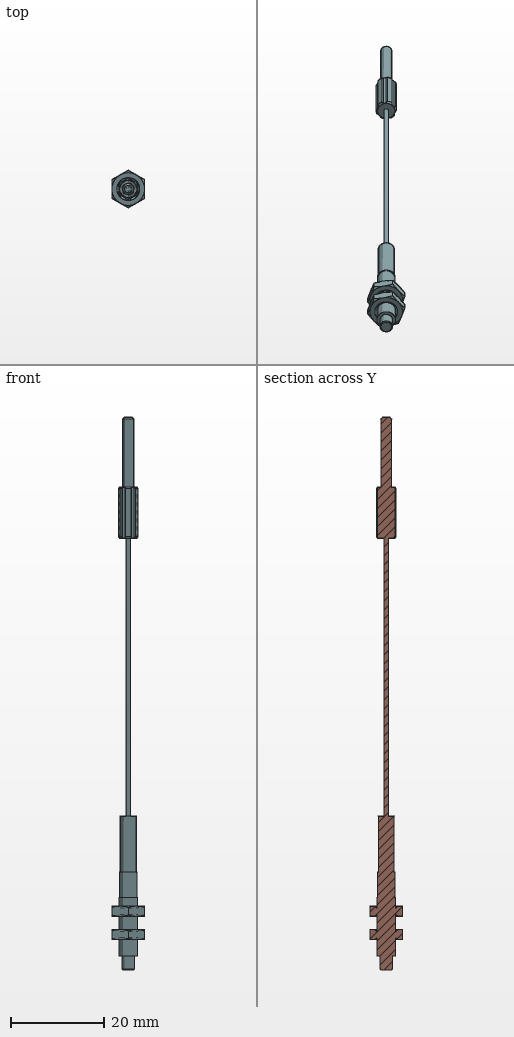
import cadquery as cq
import math

total_length = 118.5
tip_length = 3.0
thread_end = 15.5
head_end = 21.0
tube_end = 33.0
cable_end = 92.5
sleeve_length = 11.0
sleeve_end = cable_end + sleeve_length

tip_diameter = 2.7
thread_diameter = 4.0
neck_diameter = 3.85
tube_diameter = 3.5
cable_diameter = 1.0
pin_diameter = 2.4

tip_chamfer = 0.2
pin_chamfer = 0.4

sleeve_diameter = 4.4
sleeve_chamfer = 0.35
groove_count = 6
groove_mouth_width = 1.4
groove_floor_width = 0.6
groove_depth = 0.3

nut_sides = 6
nut_across_flats = 7.0
nut_thickness = 2.2
nut_chamfer_angle = 30.0
nut_countersink_diameter = 4.9
nut_bottoms = (6.5, 11.5)


def rod(diameter, z_start, z_end):
    """Round bar along Z between two heights."""
    return cq.Workplane("XY").workplane(offset=z_start).circle(diameter / 2).extrude(z_end - z_start)


def hex_nut(z_bottom):
    """Hexagon nut with corners on the Y axis, chamfered and countersunk on both faces."""
    corner_radius = nut_across_flats / math.sqrt(3)
    flat_radius = nut_across_flats / 2
    drop = (corner_radius - flat_radius) * math.tan(math.radians(nut_chamfer_angle))
    blank = (
        cq.Workplane("XY")
        .polygon(nut_sides, 2 * corner_radius)
        .extrude(nut_thickness)
        .rotate((0, 0, 0), (0, 0, 1), 180 / nut_sides)
    )
    envelope = (
        cq.Workplane("XZ")
        .moveTo(0, 0)
        .lineTo(flat_radius, 0)
        .lineTo(corner_radius, drop)
        .lineTo(corner_radius, nut_thickness - drop)
        .lineTo(flat_radius, nut_thickness)
        .lineTo(0, nut_thickness)
        .close()
        .revolve(360, (0, 0, 0), (0, 1, 0))
    )
    bore = cq.Workplane("XY").circle(thread_diameter / 2).extrude(nut_thickness)
    countersink_depth = (nut_countersink_diameter - thread_diameter) / 2
    nut = blank.intersect(envelope).cut(bore)
    nut = nut.edges(cq.selectors.RadiusNthSelector(0)).chamfer(countersink_depth)
    return nut.translate((0, 0, z_bottom))


def grip_sleeve():
    """Chamfered sleeve with flared grooves running its full length."""
    body = rod(sleeve_diameter, cable_end, sleeve_end).faces("<Z or >Z").chamfer(sleeve_chamfer)
    sleeve_radius = sleeve_diameter / 2
    floor_radius = sleeve_radius - groove_depth
    groove = (
        cq.Workplane("XY")
        .workplane(offset=cable_end)
        .moveTo(floor_radius, -groove_floor_width / 2)
        .lineTo(floor_radius, groove_floor_width / 2)
        .lineTo(sleeve_radius, groove_mouth_width / 2)
        .lineTo(sleeve_radius, -groove_mouth_width / 2)
        .close()
        .extrude(sleeve_length)
    )
    for index in range(groove_count):
        body = body.cut(groove.rotate((0, 0, 0), (0, 0, 1), index * 360 / groove_count))
    return body


tip = rod(tip_diameter, 0, tip_length).faces("<Z").chamfer(tip_chamfer)
pin = rod(pin_diameter, sleeve_end, total_length).faces(">Z").chamfer(pin_chamfer)

result = (
    tip.union(rod(thread_diameter, tip_length, thread_end))
    .union(rod(neck_diameter, thread_end, head_end))
    .union(rod(tube_diameter, head_end, tube_end))
    .union(rod(cable_diameter, tube_end, cable_end))
    .union(grip_sleeve())
    .union(pin)
)
for nut_bottom in nut_bottoms:
    result = result.union(hex_nut(nut_bottom))